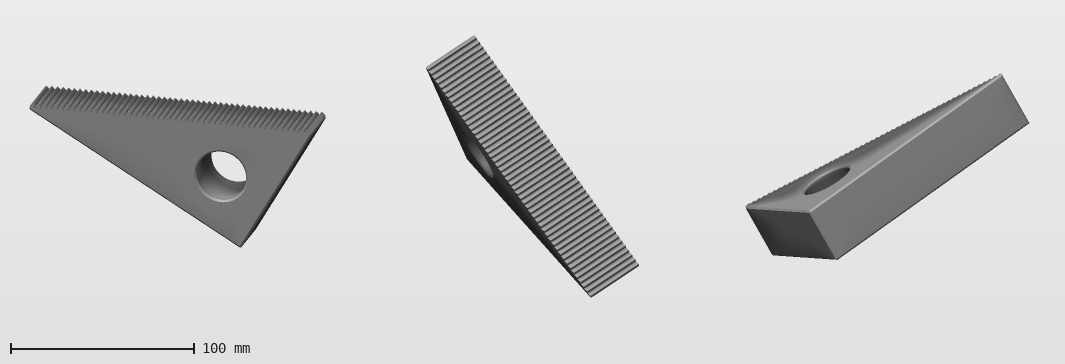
import cadquery as cq
import math

length = 158.7
width = 32.0
height = 71.3
low_slope = math.tan(math.radians(30))
steep_slope = math.tan(math.radians(60))
edge_chamfer = 1.0

tooth_count = 50
tooth_pitch = length / tooth_count
tooth_depth = 2.0
root_flat = 0.24
flank_run = tooth_depth * math.tan(math.radians(16))
back_run = tooth_depth

land_depth = 3.2
left_land_run = 0.5

corner_x = (steep_slope * length + low_slope * left_land_run) / (steep_slope + low_slope)
corner_z = -land_depth - steep_slope * (length - corner_x)

hole_diameter = 28.0
hole_x = 108.2
hole_depth = 30.8


def extrude_profile(points):
    """Solid across the full width from an outline in X and Z."""
    return cq.Workplane("XZ").polyline(points).close().extrude(width / 2, both=True)


def make_wedge():
    """Sharp triangular wedge, its two sloping sides chamfered front and back."""
    wedge = extrude_profile([
        (left_land_run - land_depth / low_slope, 0),
        (corner_x, corner_z),
        (length + land_depth / steep_slope, 0),
    ])
    return wedge.faces("|Y").edges("not |X").chamfer(edge_chamfer)


def make_trim():
    """Serrated top, leaning end lands and flat bottom that bound the wedge."""
    points = [(left_land_run, -height), (left_land_run, -land_depth)]
    for tooth in range(tooth_count):
        flank_root_x = tooth * tooth_pitch
        back_root_x = flank_root_x + tooth_pitch - root_flat
        points.append((flank_root_x, -tooth_depth))
        points.append((flank_root_x + flank_run, 0))
        points.append((back_root_x - back_run, 0))
        points.append((back_root_x, -tooth_depth))
    points.append((length, -land_depth))
    points.append((length, -height))
    return extrude_profile(points)


def make_hole():
    """Through hole along Y, countersunk at both ends."""
    hole_radius = hole_diameter / 2
    mouth_radius = hole_radius + edge_chamfer
    half_width = width / 2
    half_bore = half_width - edge_chamfer
    profile = [
        (0, -half_width),
        (mouth_radius, -half_width),
        (hole_radius, -half_bore),
        (hole_radius, half_bore),
        (mouth_radius, half_width),
        (0, half_width),
    ]
    hole = cq.Workplane("XY").polyline(profile).close().revolve(360, (0, 0, 0), (0, 1, 0))
    return hole.translate((hole_x, 0, -hole_depth))


result = make_wedge().intersect(make_trim()).cut(make_hole())